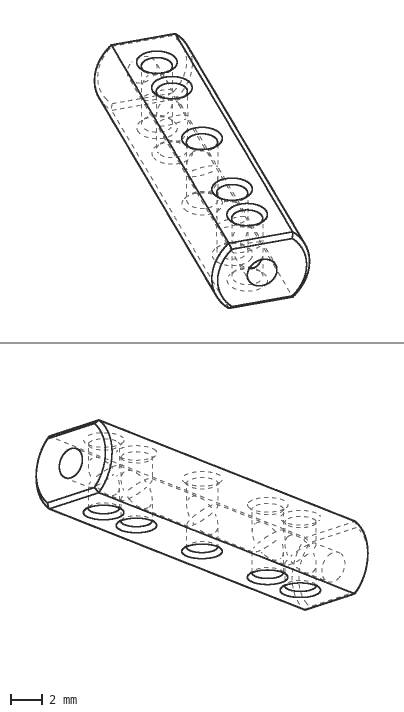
import cadquery as cq

length = 25.0
rod_diameter = 6.6
thickness = 5.0
end_chamfer = 0.3
bore_diameter = 2.0
cross_hole_diameter = 2.0
countersink_diameter = 2.6
countersink_angle = 90.0
inner_hole_offset = 6.25
outer_hole_offset = 9.38

hole_positions = [
    -outer_hole_offset,
    -inner_hole_offset,
    0.0,
    inner_hole_offset,
    outer_hole_offset,
]


def make_bar():
    """Round bar along X with flats on top and bottom and chamfered ends."""
    rod = cq.Workplane("YZ").circle(rod_diameter / 2).extrude(length / 2, both=True)
    flats = cq.Workplane("XY").box(length, rod_diameter, thickness)
    return rod.intersect(flats).faces("<X or >X").chamfer(end_chamfer)


def cut_bore(bar):
    """Plain hole along the bar axis, through both ends."""
    return bar.faces("<X").workplane(origin=(0, 0, 0)).hole(bore_diameter)


def cut_cross_holes(bar):
    """Row of through holes, countersunk at both flats."""
    points = [(x, 0) for x in hole_positions]
    for flat in (">Z", "<Z"):
        bar = (
            bar.faces(flat)
            .workplane(origin=(0, 0, 0))
            .pushPoints(points)
            .cskHole(cross_hole_diameter, countersink_diameter, countersink_angle)
        )
    return bar


result = cut_cross_holes(cut_bore(make_bar()))